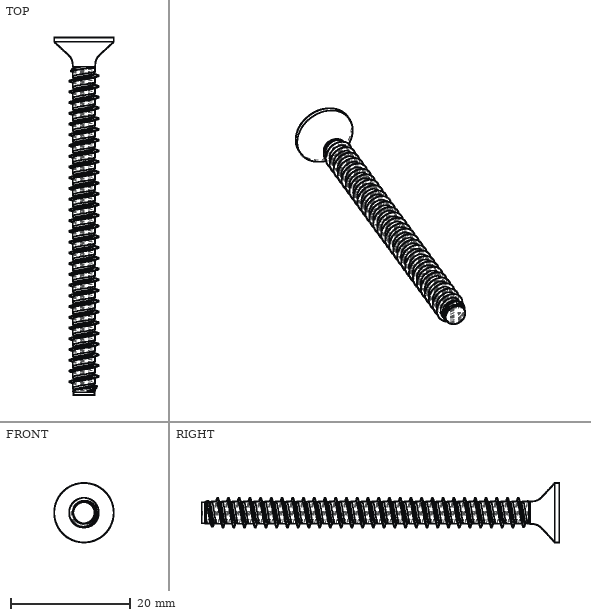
import cadquery as cq
import math

length = 60.0

head_diameter = 10.0
rim_height = 0.8
neck_blend_start = 3.05
neck_blend_end = 4.55
neck_blend_angle = 45

shank_diameter = 3.85
core_diameter = 3.55
shank_end = 4.9
tip_dish_depth = 0.1

pitch = 1.8
thread_diameter = 5.0
land_diameter = 3.8
crest_width = 0.05
flank_width = 0.21
land_end = 1.0
land_ramp = 0.35
root_overlap = 0.03
thread_phase = 6.9

head_runout_start = 4.7
head_runout_end = 6.25
tip_runout_start = 57.8
tip_runout_end = 59.9
envelope_clearance = 0.05
trim_depth = 0.2

head_radius = head_diameter / 2
shank_radius = shank_diameter / 2
core_radius = core_diameter / 2
thread_radius = thread_diameter / 2
root_radius = core_radius - root_overlap
envelope_radius = thread_radius + envelope_clearance
trim_radius = core_radius - trim_depth
land_radius = land_diameter / 2


def make_body():
    """Head, neck blend, shank and core as one revolved outline with a dished tip."""
    blend_angle = math.radians(neck_blend_angle)
    blend_radius = (neck_blend_end - neck_blend_start) / math.sin(blend_angle)
    blend_centre = shank_radius + blend_radius

    def blend_point(angle):
        """Point on the blend arc, at an angle back from its lower end on the shank."""
        return (
            blend_centre - blend_radius * math.cos(angle),
            neck_blend_end - blend_radius * math.sin(angle),
        )

    dish_sphere_radius = (core_radius**2 + tip_dish_depth**2) / (2 * tip_dish_depth)
    dish_middle = core_radius / 2
    dish_rise = dish_sphere_radius - math.sqrt(dish_sphere_radius**2 - dish_middle**2)
    dish_middle_depth = tip_dish_depth - dish_rise
    return (
        cq.Workplane("XZ")
        .moveTo(0, 0)
        .lineTo(head_radius, 0)
        .lineTo(head_radius, rim_height)
        .lineTo(*blend_point(blend_angle))
        .threePointArc(blend_point(blend_angle / 2), (shank_radius, neck_blend_end))
        .lineTo(shank_radius, shank_end)
        .lineTo(core_radius, shank_end)
        .lineTo(core_radius, length)
        .threePointArc((dish_middle, length - dish_middle_depth), (0, length - tip_dish_depth))
        .close()
        .revolve(360, (0, 0, 0), (0, 1, 0))
    )


def make_thread():
    """Helical ridge with its land, longer than needed at both ends."""
    lead_in_turns = 2
    first_crest = thread_phase - pitch / 4 - lead_in_turns * pitch
    turns = math.ceil((length - first_crest) / pitch) + 1
    half_crest = crest_width / 2
    flank_slope = flank_width / (thread_radius - core_radius)
    ramp_slope = land_ramp / (land_radius - core_radius)
    profile = [
        (root_radius, -half_crest - flank_slope * (thread_radius - root_radius)),
        (thread_radius, -half_crest),
        (thread_radius, half_crest),
        (land_radius, half_crest + flank_slope * (thread_radius - land_radius)),
        (land_radius, land_end),
        (root_radius, land_end + ramp_slope * (land_radius - root_radius)),
    ]
    path = cq.Wire.makeHelix(pitch, turns * pitch, root_radius)
    ridge = cq.Workplane("XZ").polyline(profile).close().sweep(cq.Workplane(path), isFrenet=True)
    return ridge.translate((0, 0, first_crest))


def make_runout_envelope():
    """Revolved envelope that trims the thread to a taper at the head and at the tip."""
    return (
        cq.Workplane("XZ")
        .moveTo(0, head_runout_start)
        .lineTo(trim_radius, head_runout_start)
        .lineTo(envelope_radius, head_runout_end)
        .lineTo(envelope_radius, tip_runout_start)
        .lineTo(trim_radius, tip_runout_end)
        .lineTo(0, tip_runout_end)
        .close()
        .revolve(360, (0, 0, 0), (0, 1, 0))
    )


thread = make_thread().intersect(make_runout_envelope())
screw = make_body().union(thread).rotate((0, 0, 0), (1, 0, 0), 90)
result = screw.solids()